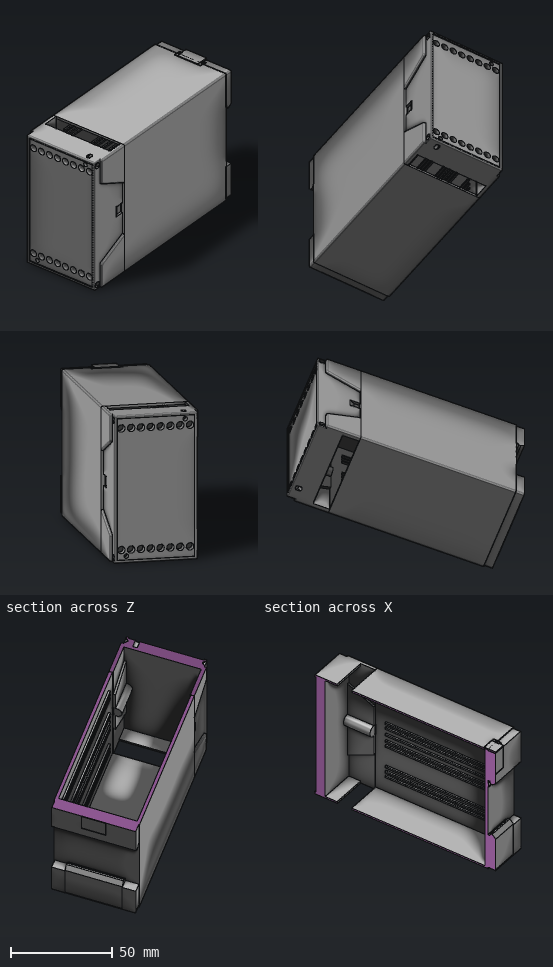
import cadquery as cq


WIDTH = 45.0
HEIGHT = 75.0
MID_Z = HEIGHT / 2
SPLIT_Y = 22.5
HOUSING_BACK_Y = 104.9
OVERALL_DEPTH = 109.7
EDGE_RADIUS = 0.8
SKIN = 1.3

SIDE_WALL = 2.0
BACK_WALL = 2.0
GUIDE_DEPTH = 1.0
GUIDE_THICKNESS = 1.0
GUIDE_FRONT_Y = 28.8
GUIDE_OFFSETS = [4.1, 7.1, 20.1, 23.3, 26.2]

FOOT_WIDTH = 44.2
FOOT_EDGE_RADIUS = 0.8
PLATE_THICKNESS = 0.25
FOOT_BACK_Y = OVERALL_DEPTH - PLATE_THICKNESS
HOOK_TIP_BACK_Y = 107.5
HOOK_TIP_FRONT_Y = 106.4
HOOK_SEAT_Y = 105.8
UPPER_FOOT_TOP_Z = 74.5
UPPER_FOOT_BOTTOM_Z = 55.3
UPPER_TIP_Z = 53.7
LOWER_FOOT_BOTTOM_Z = 0.8
LOWER_FOOT_TOP_Z = 19.9
LOWER_PLATE_BOTTOM_Z = 1.5
LOWER_HOOK_SHOULDER_Z = 20.8
LOWER_HOOK_SEAT_Z = 21.6
LOWER_HOOK_TIP_Z = 22.9
LOWER_HOOK_WIDTH = 30.0
STOP_WIDTH = 12.8
STOP_BOTTOM_Z = 51.4
STOP_TOP_Z = 54.0
STOP_DEPTH = 0.4

COVER_CORE_WIDTH = 42.4
WING_FRONT_Y = 4.2
WING_CORNER_Z = 61.0
WING_REAR_Z = 52.5
WING_CORNER_RADIUS = 1.5
WING_EDGE_RADIUS = 0.7
FRONT_WALL = 6.5
FRONT_EDGE_RADIUS = 0.6
CORE_SIDE_RADIUS = 0.35
COVER_CAVITY_WIDTH = 40.3
COVER_CAVITY_CORE_WIDTH = 37.9
WINDOW_FRONT_Y = 13.7
PANEL_WIDTH = 39.4
PANEL_HEIGHT = 72.0
PANEL_RECESS = 0.6

TERMINALS_PER_ROW = 8
TERMINAL_PITCH = 5.0
TERMINAL_ROW_OFFSET = 30.9
TERMINAL_DIAMETER = 3.7
SMALL_HOLE_X = 15.0
SMALL_HOLE_OFFSET = 34.1
SMALL_HOLE_DIAMETER = 2.2
FRONT_HOLE_DEPTH = 4.5

SIDE_POCKET_Y = 2.3
SIDE_POCKET_OFFSET = 35.0
SIDE_POCKET_DIAMETER = 3.2
TOP_POCKET_Y = 3.9
TOP_POCKET_LENGTH = 3.4
TOP_POCKET_WIDTH = 2.3

CATCH_HEIGHT = 5.7
CATCH_FRONT_Y = 17.2
CATCH_RAMP_Y = 19.6
CATCH_DEPTH = 1.2
CATCH_RIB_RADIUS = 3.3

CLIP_TOP_Z = 75.55
CLIP_WIDTH = 12.8
CLIP_EAR_WIDTH = 16.2
CLIP_FRONT_Y = 102.6
CLIP_PLATE_BOTTOM_Z = 61.5
FRONT_EAR_BACK_Y = 104.8
FRONT_EAR_TOP_Z = 75.4
REAR_EAR_TOP_Z = 75.2
REAR_EAR_BACK_Y = 107.5
REAR_EAR_FRONT_Y = 105.1
REAR_EAR_BACK_SLOPE = 0.9
REAR_EAR_FRONT_SLOPE = 0.5



def block(width, y0, y1, z0, z1):
    """Box centred on X = 0 between the given Y and Z limits."""
    corner = cq.Workplane("XY", origin=(0, y0, z0))
    return corner.box(width, y1 - y0, z1 - z0, centered=(True, False, False))


def side_profile(points, width):
    """Prism of a closed (Y, Z) outline, centred on X = 0."""
    return cq.Workplane("YZ").polyline(points).close().extrude(width / 2, both=True)


def both_halves(body):
    """The body together with its mirror image below mid-height."""
    return body.union(body.mirror("XY", (0, 0, MID_Z)))


def both_sides(body):
    """The body together with its mirror image on the other X side."""
    return body.union(body.mirror("YZ"))


def upper_foot():
    foot = side_profile(
        [
            (HOUSING_BACK_Y, UPPER_FOOT_TOP_Z),
            (FOOT_BACK_Y, UPPER_FOOT_TOP_Z),
            (FOOT_BACK_Y, UPPER_FOOT_BOTTOM_Z),
            (HOOK_TIP_BACK_Y, UPPER_TIP_Z),
            (HOOK_TIP_FRONT_Y, UPPER_TIP_Z),
            (HOOK_SEAT_Y, UPPER_FOOT_BOTTOM_Z),
            (HOUSING_BACK_Y, UPPER_FOOT_BOTTOM_Z),
        ],
        FOOT_WIDTH,
    )
    return foot.edges("|Y and >Z").fillet(FOOT_EDGE_RADIUS)


def lower_foot():
    foot = block(FOOT_WIDTH, HOUSING_BACK_Y, FOOT_BACK_Y, LOWER_FOOT_BOTTOM_Z, LOWER_FOOT_TOP_Z)
    foot = foot.edges("|Y and <Z").fillet(FOOT_EDGE_RADIUS)
    plate = block(LOWER_HOOK_WIDTH, FOOT_BACK_Y, OVERALL_DEPTH, LOWER_PLATE_BOTTOM_Z, LOWER_FOOT_TOP_Z)
    hook = side_profile(
        [
            (HOUSING_BACK_Y, LOWER_FOOT_TOP_Z),
            (OVERALL_DEPTH, LOWER_FOOT_TOP_Z),
            (OVERALL_DEPTH, LOWER_HOOK_SHOULDER_Z),
            (HOOK_TIP_BACK_Y, LOWER_HOOK_TIP_Z),
            (HOOK_TIP_FRONT_Y, LOWER_HOOK_TIP_Z),
            (HOOK_SEAT_Y, LOWER_HOOK_SEAT_Z),
            (HOUSING_BACK_Y, LOWER_HOOK_SEAT_Z),
        ],
        LOWER_HOOK_WIDTH,
    )
    return foot.union(plate).union(hook)


def board_guides():
    """Horizontal ribs along both inner side walls."""
    length = HOUSING_BACK_Y - BACK_WALL - GUIDE_FRONT_Y
    heights = [MID_Z]
    for offset in GUIDE_OFFSETS:
        heights += [MID_Z - offset, MID_Z + offset]
    rib_width = GUIDE_DEPTH + SIDE_WALL / 2
    rib_x = WIDTH / 2 - SIDE_WALL / 2 - rib_width / 2
    rib = cq.Workplane("XY").box(rib_width, length, GUIDE_THICKNESS)
    rib_y = GUIDE_FRONT_Y + length / 2
    guides = cq.Workplane("XY")
    for z in heights:
        guides = guides.union(rib.translate((rib_x, rib_y, z)))
    return both_sides(guides)


def make_housing():
    body = block(WIDTH, SPLIT_Y, HOUSING_BACK_Y, 0, HEIGHT).edges("|Y").fillet(EDGE_RADIUS)
    body = body.cut(
        block(WIDTH - 2 * SIDE_WALL, SPLIT_Y, HOUSING_BACK_Y - BACK_WALL, SKIN, HEIGHT - SKIN)
    )
    stop = block(STOP_WIDTH, HOUSING_BACK_Y, HOUSING_BACK_Y + STOP_DEPTH, STOP_BOTTOM_Z, STOP_TOP_Z)
    return body.union(board_guides()).union(upper_foot()).union(lower_foot()).union(stop)


def upper_wing_prism(width):
    """Upper side wing outline, which slopes down towards the joint, as a prism of the given width."""
    prism = side_profile(
        [
            (WING_FRONT_Y, HEIGHT),
            (WING_FRONT_Y, WING_CORNER_Z),
            (SPLIT_Y, WING_REAR_Z),
            (SPLIT_Y, HEIGHT),
        ],
        width,
    )
    lower_front_corner = cq.selectors.BoxSelector(
        (-width, WING_FRONT_Y - WING_CORNER_RADIUS, WING_CORNER_Z - WING_CORNER_RADIUS),
        (width, WING_FRONT_Y + WING_CORNER_RADIUS, WING_CORNER_Z + WING_CORNER_RADIUS),
    )
    return prism.edges(lower_front_corner).fillet(WING_CORNER_RADIUS)


def wings():
    wing = upper_wing_prism(WIDTH).edges("|Y and >Z").fillet(EDGE_RADIUS)
    wing = wing.faces("<X or >X").edges("not(>Y or >Z)").fillet(WING_EDGE_RADIUS)
    return both_halves(wing)


def cover_cavity():
    """Inside of the cover: wider behind the wings, narrower between them."""
    core = block(COVER_CAVITY_CORE_WIDTH, FRONT_WALL, SPLIT_Y, SKIN, HEIGHT - SKIN)
    behind_wings = both_halves(upper_wing_prism(COVER_CAVITY_WIDTH)).intersect(
        block(COVER_CAVITY_WIDTH, FRONT_WALL, SPLIT_Y, SKIN, HEIGHT - SKIN)
    )
    return core.union(behind_wings)


def windows():
    """Openings through the top and bottom walls, reaching to the joint."""
    return both_halves(block(COVER_CAVITY_WIDTH, WINDOW_FRONT_Y, SPLIT_Y, HEIGHT - SKIN, HEIGHT))


def front_holes():
    row_start = -TERMINAL_PITCH * (TERMINALS_PER_ROW - 1) / 2
    terminal_points = [
        (row_start + i * TERMINAL_PITCH, MID_Z + side * TERMINAL_ROW_OFFSET)
        for i in range(TERMINALS_PER_ROW)
        for side in (-1, 1)
    ]
    small_points = [(side * SMALL_HOLE_X, MID_Z + side * SMALL_HOLE_OFFSET) for side in (-1, 1)]
    front = cq.Workplane("XZ")
    terminals = front.pushPoints(terminal_points).circle(TERMINAL_DIAMETER / 2).extrude(-FRONT_HOLE_DEPTH)
    small = front.pushPoints(small_points).circle(SMALL_HOLE_DIAMETER / 2).extrude(-FRONT_HOLE_DEPTH)
    return terminals.union(small)


def side_pockets():
    """Round pockets in the sides, each with a vertical V-shaped bottom."""
    radius = SIDE_POCKET_DIAMETER / 2
    face_x = COVER_CORE_WIDTH / 2
    z = MID_Z + SIDE_POCKET_OFFSET
    barrel = (
        cq.Workplane("YZ", origin=(face_x - radius, SIDE_POCKET_Y, z)).circle(radius).extrude(radius)
    )
    wedge = (
        cq.Workplane("XY", origin=(face_x, SIDE_POCKET_Y, z - radius))
        .polyline([(0, -radius), (-radius, 0), (0, radius)])
        .close()
        .extrude(2 * radius)
    )
    return both_halves(both_sides(barrel.intersect(wedge)))


def top_pocket():
    """Slot-shaped pocket with a V-shaped bottom, in the top at one side and the bottom at the other."""
    depth = TOP_POCKET_LENGTH / 2
    slot = (
        cq.Workplane("XY", origin=(SMALL_HOLE_X, TOP_POCKET_Y, HEIGHT - depth))
        .slot2D(TOP_POCKET_LENGTH, TOP_POCKET_WIDTH, 90)
        .extrude(depth)
    )
    wedge = side_profile(
        [
            (TOP_POCKET_Y - depth, HEIGHT),
            (TOP_POCKET_Y, HEIGHT - depth),
            (TOP_POCKET_Y + depth, HEIGHT),
        ],
        WIDTH,
    )
    pocket = slot.intersect(wedge)
    return pocket.union(pocket.rotate((0, 0, MID_Z), (0, 1, MID_Z), 180))


def catch_recesses():
    """Recesses at the joint, ramping out to the side face towards the front."""
    face_x = COVER_CORE_WIDTH / 2
    recess = (
        cq.Workplane("XY", origin=(0, 0, MID_Z - CATCH_HEIGHT / 2))
        .polyline(
            [
                (face_x, CATCH_FRONT_Y),
                (face_x - CATCH_DEPTH, CATCH_RAMP_Y),
                (face_x - CATCH_DEPTH, SPLIT_Y),
                (face_x, SPLIT_Y),
            ]
        )
        .close()
        .extrude(CATCH_HEIGHT)
    )
    return both_sides(recess)


def catch_ribs():
    """Half-round ribs on the inner side walls behind the catch recesses."""
    wall_x = COVER_CAVITY_CORE_WIDTH / 2
    rib = (
        cq.Workplane("XZ", origin=(wall_x, FRONT_WALL, MID_Z))
        .moveTo(0, -CATCH_RIB_RADIUS)
        .threePointArc((-CATCH_RIB_RADIUS, 0), (0, CATCH_RIB_RADIUS))
        .close()
        .extrude(FRONT_WALL - SPLIT_Y)
    )
    return both_sides(rib)


def make_cover():
    core = block(COVER_CORE_WIDTH, 0, SPLIT_Y, 0, HEIGHT)
    core = core.faces("<Y").edges("|X").fillet(FRONT_EDGE_RADIUS)
    core = core.faces("<X or >X").edges("not >Y").fillet(CORE_SIDE_RADIUS)
    body = core.union(wings())
    panel_bottom_z = MID_Z - PANEL_HEIGHT / 2
    body = body.cut(block(PANEL_WIDTH, 0, PANEL_RECESS, panel_bottom_z, panel_bottom_z + PANEL_HEIGHT))
    body = body.cut(cover_cavity()).cut(windows())
    body = body.cut(front_holes()).cut(side_pockets()).cut(top_pocket())
    return body.union(catch_ribs()).cut(catch_recesses())


def make_clip():
    strip = side_profile(
        [
            (CLIP_FRONT_Y, HEIGHT),
            (CLIP_FRONT_Y, CLIP_TOP_Z),
            (OVERALL_DEPTH, CLIP_TOP_Z),
            (OVERALL_DEPTH, CLIP_PLATE_BOTTOM_Z),
            (FOOT_BACK_Y, CLIP_PLATE_BOTTOM_Z),
            (FOOT_BACK_Y, UPPER_FOOT_TOP_Z),
            (HOUSING_BACK_Y, UPPER_FOOT_TOP_Z),
            (HOUSING_BACK_Y, HEIGHT),
        ],
        CLIP_WIDTH,
    )
    front_ear = block(CLIP_EAR_WIDTH, CLIP_FRONT_Y, FRONT_EAR_BACK_Y, HEIGHT, FRONT_EAR_TOP_Z)
    rear_ear = side_profile(
        [
            (REAR_EAR_FRONT_Y, UPPER_FOOT_TOP_Z),
            (REAR_EAR_FRONT_Y + REAR_EAR_FRONT_SLOPE, REAR_EAR_TOP_Z),
            (REAR_EAR_BACK_Y - REAR_EAR_BACK_SLOPE, REAR_EAR_TOP_Z),
            (REAR_EAR_BACK_Y, UPPER_FOOT_TOP_Z),
        ],
        CLIP_EAR_WIDTH,
    )
    return strip.union(front_ear).union(rear_ear)


housing = make_housing()
cover = make_cover()
clip = make_clip()

result = cq.Compound.makeCompound([housing.val(), cover.val(), clip.val()])